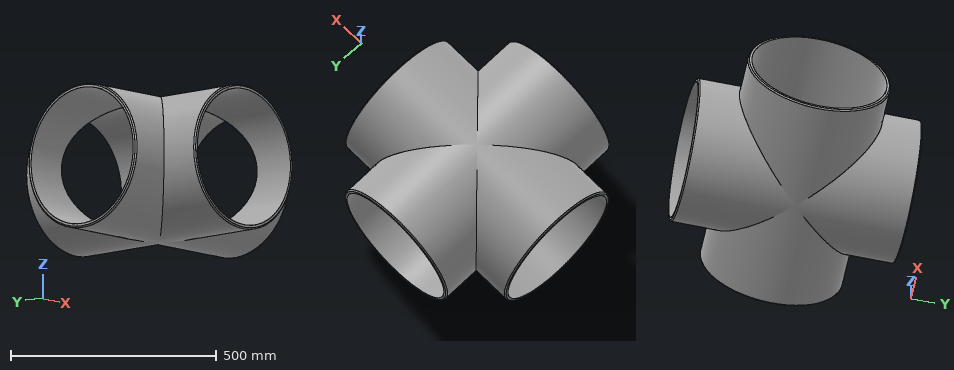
import cadquery as cq

length = 558.0
outer_diameter = 356.0
wall = 9.5
bevel_depth = 3.5
bevel_height = 3.5

outer_radius = outer_diameter / 2
bore_radius = outer_radius - wall
half_length = length / 2


def pipe_body():
    """Solid pipe along X with its outer end edges bevelled."""
    lip_radius = outer_radius - bevel_height
    shoulder = half_length - bevel_depth
    profile = [
        (-half_length, 0),
        (-half_length, lip_radius),
        (-shoulder, outer_radius),
        (shoulder, outer_radius),
        (half_length, lip_radius),
        (half_length, 0),
    ]
    return cq.Workplane("XY").polyline(profile).close().revolve(360, (0, 0, 0), (1, 0, 0))


def bore():
    """Through bore along X."""
    return cq.Workplane("YZ").circle(bore_radius).extrude(half_length, both=True)


def crossed(pipe):
    """Join a pipe along X with its copy along Y."""
    return pipe.union(pipe.rotate((0, 0, 0), (0, 0, 1), 90))


result = crossed(pipe_body()).cut(crossed(bore()))